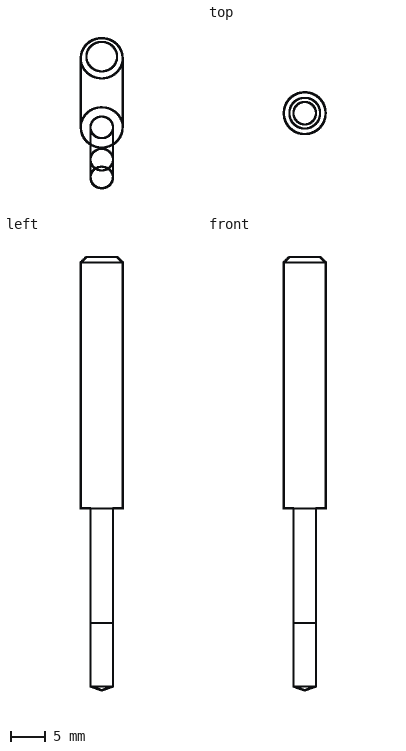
import cadquery as cq
import math

total_length = 62.0
shank_diameter = 6.0
shank_length = 35.95
shank_chamfer = 0.8

drill_diameter = 3.2
neck_length = 16.35
point_angle = 140.0

shank_bottom = total_length - shank_length
joint_level = shank_bottom - neck_length

shank_radius = shank_diameter / 2
drill_radius = drill_diameter / 2
point_height = drill_radius / math.tan(math.radians(point_angle / 2))


def revolve_about_z(profile):
    """Turn a closed (radius, height) outline a full circle about the Z axis."""
    return cq.Workplane("XZ").polyline(profile).close().revolve(360, (0, 0), (0, 1))


def make_holder():
    """Round shank with a chamfered top end and a thinner neck below it."""
    return revolve_about_z([
        (0, joint_level),
        (drill_radius, joint_level),
        (drill_radius, shank_bottom),
        (shank_radius, shank_bottom),
        (shank_radius, total_length - shank_chamfer),
        (shank_radius - shank_chamfer, total_length),
        (0, total_length),
    ])


def make_cutting_tip():
    """Cylindrical cutting length ending in a conical point."""
    return revolve_about_z([
        (0, 0),
        (drill_radius, point_height),
        (drill_radius, joint_level),
        (0, joint_level),
    ])


holder = make_holder()
cutting_tip = make_cutting_tip()

result = cq.Compound.makeCompound([holder.val(), cutting_tip.val()])